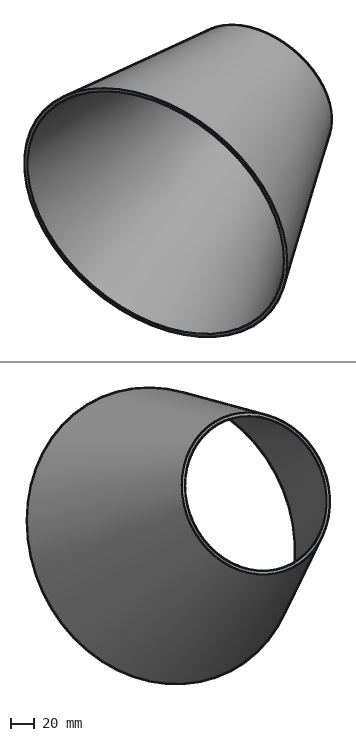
import cadquery as cq
import math

wide_diameter = 256.0
narrow_diameter = 139.8
length = 178.0
wall_thickness = 3.0

wide_radius = wide_diameter / 2
narrow_radius = narrow_diameter / 2

half_angle = math.atan((wide_radius - narrow_radius) / length)
rim_width = wall_thickness / math.cos(half_angle)

wall_section = cq.Workplane("XY").polyline([
    (wide_radius, 0),
    (narrow_radius, length),
    (narrow_radius - rim_width, length),
    (wide_radius - rim_width, 0),
]).close()

result = wall_section.revolve(360, (0, 0, 0), (0, 1, 0))